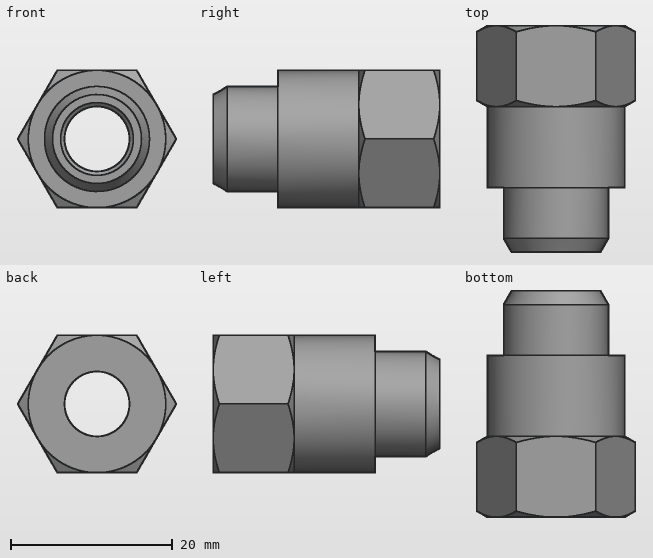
import cadquery as cq
import math

across_flats = 17.0
hex_length = 10.0
collar_diameter = across_flats
collar_length = 10.0
spigot_diameter = 13.0
spigot_length = 8.0
bore_diameter = 8.0
bore_chamfer = 0.5
tip_chamfer_depth = 1.0
tip_chamfer_angle = 60.0
hex_chamfer_angle = 30.0

total_length = spigot_length + collar_length + hex_length
collar_start = spigot_length
hex_start = collar_start + collar_length
across_corners = across_flats / math.cos(math.radians(30))
flat_radius = across_flats / 2
corner_radius = across_corners / 2
spigot_radius = spigot_diameter / 2
bore_radius = bore_diameter / 2
tip_radius = spigot_radius - tip_chamfer_depth
tip_chamfer_length = tip_chamfer_depth * math.tan(math.radians(tip_chamfer_angle))
hex_chamfer_length = (corner_radius - flat_radius) * math.tan(math.radians(hex_chamfer_angle))


def revolve_about_y(points):
    """Revolve a closed (radius, y) outline about the Y axis."""
    return cq.Workplane("XY").polyline(points).close().revolve(360, (0, 0, 0), (0, 1, 0))


def make_hex():
    """Hexagon with corners on X, both ends chamfered by cones down to the flats."""
    prism = (
        cq.Workplane("XZ", origin=(0, total_length, 0))
        .polygon(6, across_corners)
        .extrude(hex_length)
    )
    chamfer_envelope = revolve_about_y([
        (0, hex_start),
        (flat_radius, hex_start),
        (corner_radius, hex_start + hex_chamfer_length),
        (corner_radius, total_length - hex_chamfer_length),
        (flat_radius, total_length),
        (0, total_length),
    ])
    return prism.intersect(chamfer_envelope)


def make_stepped_shank():
    """Collar and chamfered spigot."""
    return revolve_about_y([
        (0, 0),
        (tip_radius, 0),
        (spigot_radius, tip_chamfer_length),
        (spigot_radius, collar_start),
        (collar_diameter / 2, collar_start),
        (collar_diameter / 2, hex_start),
        (0, hex_start),
    ])


def make_bore():
    """Through bore, chamfered at the spigot mouth."""
    return revolve_about_y([
        (0, 0),
        (bore_radius + bore_chamfer, 0),
        (bore_radius, bore_chamfer),
        (bore_radius, total_length),
        (0, total_length),
    ])


result = make_hex().union(make_stepped_shank()).cut(make_bore())